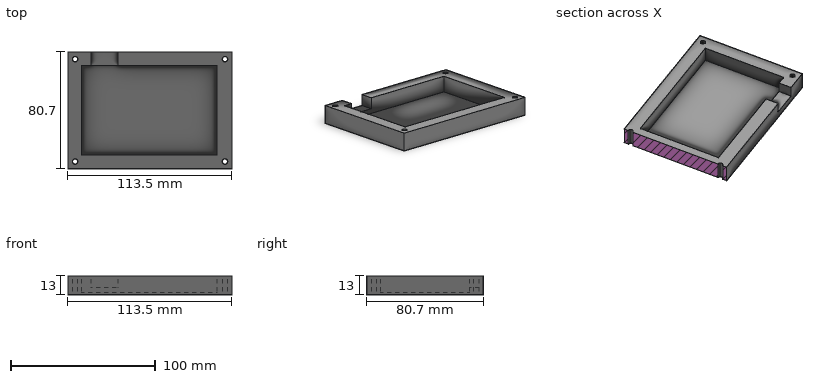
import cadquery as cq

length = 113.5
width = 80.7
height = 13.0

wall = 9.5
right_wall = 10.7
pocket_depth = 11.4
pocket_length = length - wall - right_wall
pocket_width = width - 2 * wall

notch_offset = 16.1
notch_length = 18.5
notch_depth = 8.0

hole_diameter = 3.5
hole_inset = 5.0


def top_cutter(x_min, y_min, size_x, size_y, depth):
    """Box that sinks to the given depth below the top face."""
    return cq.Workplane("XY").box(size_x, size_y, depth, centered=False).translate(
        (x_min, y_min, height - depth)
    )


left = -length / 2
front = -width / 2

block = cq.Workplane("XY").box(length, width, height, centered=(True, True, False))
pocket = top_cutter(left + wall, front + wall, pocket_length, pocket_width, pocket_depth)
notch = top_cutter(left + notch_offset, width / 2 - wall, notch_length, wall, notch_depth)

holes = (
    cq.Workplane("XY")
    .rect(length - 2 * hole_inset, width - 2 * hole_inset, forConstruction=True)
    .vertices()
    .circle(hole_diameter / 2)
    .extrude(height)
)

result = block.cut(pocket).cut(notch).cut(holes)